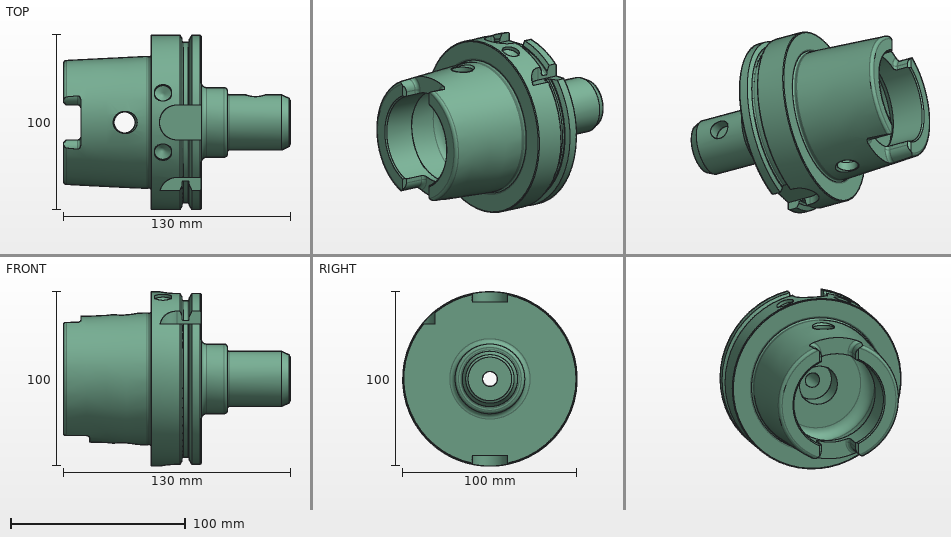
import cadquery as cq
import math


shank_length = 50.0
shank_root_radius = 37.9
shank_half_taper = 1 / 20
shank_round = 1.9
taper_end_x = -2.1
root_neck_radius = 75.42 / 2
root_neck_start_x = -1.3
root_neck_fillet = 1.0
face_recess_depth = 0.2
face_recess_rim_radius = 39.4

bore_radius = 53 / 2
bore_mouth_chamfer = 0.8
bore_floor_x = -3.5
bore_floor_fillet = 6.5
clamp_chamber_radius = 63 / 2
clamp_shoulder_x = -30.5
clamp_shoulder_angle = math.radians(50)
thread_bore_radius = 22.38 / 2
thread_bore_floor_x = 10.0
coolant_hole_radius = 8.4 / 2

slot_half_width = 10.0
slot_flare_start_z = 27.0
slot_flare_radius = 5.5
slot_floor_fillet = 2.0
slot_mouth_chamfer = 1.5
upper_slot_floor_x = -40.0
lower_slot_floor_x = -35.0

access_hole_x = -15.0
access_hole_radius = 12 / 2
access_hole_rim_radius = 12.7 / 2

flange_radius = 50.0
flange_end_x = 29.0
flange_front_chamfer = 0.5
flange_back_chamfer = 0.7
groove_floor_radius = 46.0
groove_left_wall_x = 17.9
groove_right_wall_x = 22.0
groove_left_rim_x = 16.76
groove_right_rim_x = 23.5
groove_half_angle = math.radians(30)
groove_floor_fillet = 0.75

notch_radius = 10.0
notch_centre_x = 15.0
key_notch_floor = 44.0
corner_notch_offset = 31.5

dimple_x = 7.0
dimple_tilt = 20.0
dimple_radius = 10 / 2
dimple_straight_floor = 48.0
dimple_point_angle = math.radians(118)

collar_radius = 40 / 2
collar_end_x = 44.0
collar_root_fillet = 3.0
collar_edge_round = 2.0
spigot_radius = 31.75 / 2
spigot_root_fillet = 0.8
spigot_end_x = 80.0
spigot_cone_start_x = 74.9
spigot_cone_end_x = 79.2
spigot_cone_end_radius = 13.9
spigot_tip_radius = 25 / 2
spigot_hole_x = 60.0
spigot_hole_radius = 11.2 / 2
spigot_hole_floor_y = 8.0

reach = 2 * flange_radius


def revolve_about_x(profile):
    """Turn a profile drawn in (X, radius) about the X axis."""
    return profile.close().revolve(360, (0, 0, 0), (1, 0, 0))


def cylinder_x(radius, start_x, end_x):
    return cq.Workplane("YZ", origin=(start_x, 0, 0)).circle(radius).extrude(end_x - start_x)


def flip(cut):
    """Turn a cut from the +Z side to the -Z side."""
    return cut.rotate((0, 0, 0), (1, 0, 0), 180)


def shank():
    tip_radius = shank_root_radius - shank_half_taper * (shank_length + taper_end_x)
    body = revolve_about_x(
        cq.Workplane("XY")
        .moveTo(-shank_length, 0)
        .lineTo(-shank_length, tip_radius)
        .lineTo(taper_end_x, shank_root_radius)
        .lineTo(root_neck_start_x, root_neck_radius)
        .lineTo(face_recess_depth - root_neck_fillet, root_neck_radius)
        .radiusArc((face_recess_depth, root_neck_radius + root_neck_fillet), -root_neck_fillet)
        .lineTo(face_recess_depth, 0)
    )
    return body.faces("<X").edges().fillet(shank_round)


def flange():
    back_x = flange_end_x
    return revolve_about_x(
        cq.Workplane("XY")
        .moveTo(face_recess_depth, 0)
        .lineTo(face_recess_depth, root_neck_radius + root_neck_fillet)
        .lineTo(0, face_recess_rim_radius)
        .lineTo(0, flange_radius - flange_front_chamfer)
        .lineTo(flange_front_chamfer, flange_radius)
        .lineTo(back_x - flange_back_chamfer, flange_radius)
        .lineTo(back_x, flange_radius - flange_back_chamfer)
        .lineTo(back_x, 0)
    )


def gripper_groove():
    left_depth = (groove_left_wall_x - groove_left_rim_x) / math.tan(groove_half_angle)
    right_depth = (groove_right_rim_x - groove_right_wall_x) / math.tan(groove_half_angle)
    fillet = groove_floor_fillet
    return revolve_about_x(
        cq.Workplane("XY")
        .moveTo(groove_left_rim_x, flange_radius)
        .lineTo(groove_left_wall_x, flange_radius - left_depth)
        .lineTo(groove_left_wall_x, groove_floor_radius + fillet)
        .radiusArc((groove_left_wall_x + fillet, groove_floor_radius), -fillet)
        .lineTo(groove_right_wall_x - fillet, groove_floor_radius)
        .radiusArc((groove_right_wall_x, groove_floor_radius + fillet), -fillet)
        .lineTo(groove_right_wall_x, flange_radius - right_depth)
        .lineTo(groove_right_rim_x, flange_radius)
    )


def collar_and_spigot():
    return revolve_about_x(
        cq.Workplane("XY")
        .moveTo(flange_end_x, 0)
        .lineTo(flange_end_x, collar_radius + collar_root_fillet)
        .radiusArc((flange_end_x + collar_root_fillet, collar_radius), -collar_root_fillet)
        .lineTo(collar_end_x - collar_edge_round, collar_radius)
        .radiusArc((collar_end_x, collar_radius - collar_edge_round), collar_edge_round)
        .lineTo(collar_end_x, spigot_radius + spigot_root_fillet)
        .radiusArc((collar_end_x + spigot_root_fillet, spigot_radius), -spigot_root_fillet)
        .lineTo(spigot_cone_start_x, spigot_radius)
        .lineTo(spigot_cone_end_x, spigot_cone_end_radius)
        .lineTo(spigot_end_x, spigot_tip_radius)
        .lineTo(spigot_end_x, 0)
    )


def central_bores():
    mouth_x = -shank_length
    shoulder_length = (clamp_chamber_radius - bore_radius) / math.tan(clamp_shoulder_angle)
    bore = revolve_about_x(
        cq.Workplane("XY")
        .moveTo(mouth_x, 0)
        .lineTo(mouth_x, bore_radius + bore_mouth_chamfer)
        .lineTo(mouth_x + bore_mouth_chamfer, bore_radius)
        .lineTo(clamp_shoulder_x, bore_radius)
        .lineTo(clamp_shoulder_x + shoulder_length, clamp_chamber_radius)
        .lineTo(bore_floor_x - bore_floor_fillet, clamp_chamber_radius)
        .radiusArc((bore_floor_x, clamp_chamber_radius - bore_floor_fillet), bore_floor_fillet)
        .lineTo(bore_floor_x, 0)
    )
    thread_bore = cylinder_x(thread_bore_radius, bore_floor_x, thread_bore_floor_x)
    coolant_hole = cylinder_x(coolant_hole_radius, bore_floor_x, spigot_end_x)
    return bore.union(thread_bore).union(coolant_hole)


def drive_slot(floor_x):
    """Flared slot open to the shank tip and to +Z, with a rounded floor and a chamfered mouth."""
    flare_top_z = slot_flare_start_z + slot_flare_radius
    flare_end_y = slot_half_width + slot_flare_radius
    outline = (
        cq.Workplane("YZ", origin=(floor_x, 0, 0))
        .moveTo(-slot_half_width, 0)
        .lineTo(slot_half_width, 0)
        .lineTo(slot_half_width, slot_flare_start_z)
        .radiusArc((flare_end_y, flare_top_z), slot_flare_radius)
        .lineTo(flange_radius, flare_top_z)
        .lineTo(flange_radius, flange_radius)
        .lineTo(-flange_radius, flange_radius)
        .lineTo(-flange_radius, flare_top_z)
        .lineTo(-flare_end_y, flare_top_z)
        .radiusArc((-slot_half_width, slot_flare_start_z), slot_flare_radius)
        .close()
    )
    slot = outline.extrude(-(shank_length + floor_x))
    margin = 1.0
    wall_foot = cq.selectors.BoxSelector(
        (floor_x - margin, -flange_radius + margin, margin),
        (floor_x + margin, flange_radius - margin, flange_radius - margin),
    )
    slot = slot.edges(wall_foot).fillet(slot_floor_fillet)
    mouth = (
        cq.Workplane("XY")
        .moveTo(-shank_length, -slot_half_width - slot_mouth_chamfer)
        .lineTo(-shank_length + slot_mouth_chamfer, -slot_half_width)
        .lineTo(-shank_length + slot_mouth_chamfer, slot_half_width)
        .lineTo(-shank_length, slot_half_width + slot_mouth_chamfer)
        .close()
        .extrude(flange_radius)
    )
    return slot.union(mouth)


def access_hole():
    """Hole through both walls of the shank, countersunk where it meets the taper."""
    hole = cq.Workplane("XY", origin=(access_hole_x, 0, 0))
    hole = hole.circle(access_hole_radius).extrude(reach, both=True)
    taper_radius = shank_root_radius + shank_half_taper * (access_hole_x - taper_end_x)
    rim_z = math.sqrt(taper_radius**2 - access_hole_rim_radius**2)
    cone_size = 2 * access_hole_rim_radius
    cone_tip = cq.Vector(access_hole_x, 0, rim_z - access_hole_rim_radius)
    countersink = cq.Workplane("XY").add(cq.Solid.makeCone(0, cone_size, cone_size, pnt=cone_tip))
    return hole.union(countersink).union(flip(countersink))


def key_notch():
    """Round-ended notch in the top of the flange rim, open to the back face."""
    blank = cq.Workplane("XY", origin=(0, 0, key_notch_floor))
    end = blank.center(notch_centre_x, 0).circle(notch_radius).extrude(reach)
    run = (
        blank.moveTo(notch_centre_x, -notch_radius)
        .rect(reach, 2 * notch_radius, centered=False)
        .extrude(reach)
    )
    return end.union(run)


def corner_notch():
    """Round-ended step milled across the rim between -Y and +Z."""
    return key_notch().translate(
        (0, -corner_notch_offset - notch_radius, corner_notch_offset - key_notch_floor)
    )


def dimple(tilt):
    """Drilled dimple in the rim, tilted from +Z about the X axis."""
    point_depth = dimple_radius / math.tan(dimple_point_angle / 2)
    drill = (
        cq.Workplane("XZ")
        .moveTo(0, dimple_straight_floor - point_depth)
        .lineTo(dimple_radius, dimple_straight_floor)
        .lineTo(dimple_radius, reach)
        .lineTo(0, reach)
        .close()
        .revolve(360, (0, 0, 0), (0, 1, 0))
    )
    return drill.translate((dimple_x, 0, 0)).rotate((0, 0, 0), (1, 0, 0), tilt)


def spigot_hole():
    """Blind radial hole in the +Y side of the spigot."""
    return (
        cq.Workplane("XZ", origin=(spigot_hole_x, spigot_hole_floor_y, 0))
        .circle(spigot_hole_radius)
        .extrude(-reach)
    )


result = shank().union(flange()).union(collar_and_spigot())
cuts = [
    gripper_groove(),
    central_bores(),
    drive_slot(upper_slot_floor_x),
    flip(drive_slot(lower_slot_floor_x)),
    access_hole(),
    key_notch(),
    flip(key_notch()),
    corner_notch(),
    dimple(dimple_tilt),
    dimple(-dimple_tilt),
    spigot_hole(),
]
for cut in cuts:
    result = result.cut(cut)